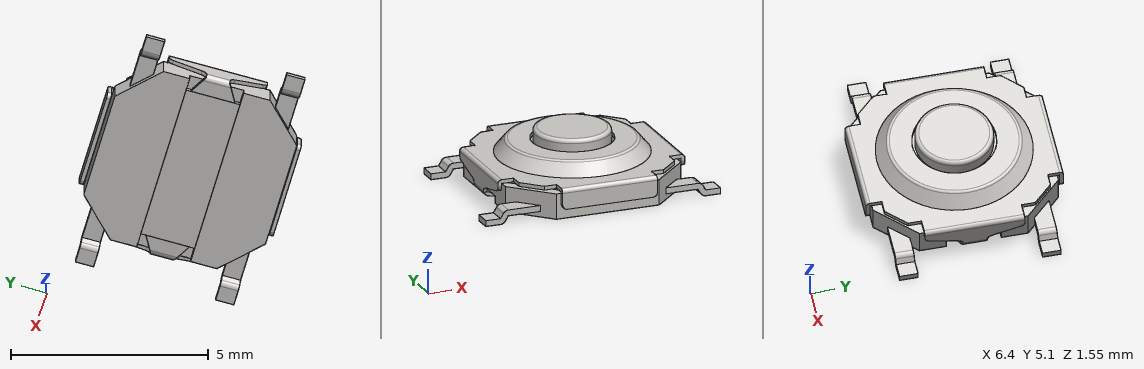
import cadquery as cq
import math

BODY_HALF = 2.395
BODY_CHAMFER = 0.99
BODY_BOTTOM = 0.05
BODY_TOP = 0.735
NECK_HALF = 2.34
NECK_SUM = 3.39
CHANNEL_HALF_WIDTH = 0.71
CHANNEL_TOP = 0.115
POCKET_TOP = 0.25

SHEET = 0.1
COVER_WIDTH = 5.1
COVER_HALF = COVER_WIDTH / 2
COVER_TOP = 0.89
COVER_BOTTOM = COVER_TOP - SHEET
FLANGE_HALF_WIDTH = 1.29
CORNER_HALF_X = 2.125
CORNER_HALF_Y = 2.145
CORNER_SUM = 3.77

SIDE_FLANGE_BOTTOM = 0.345
FLANGE_RADIUS = 0.12
SHOULDER_TOP = 0.595
SHOULDER_BOTTOM = 0.36
TONGUE_HALF_WIDTH = 0.31
SHOULDER_RADIUS = 0.14
TONGUE_ROOT_RADIUS = 0.165
HOOK_BOTTOM = 0.13
HOOK_HALF_WIDTH = 0.575
HOOK_FLARE_START = 2.51
HOOK_BEND_RADIUS = 0.14
HOOK_FLARE_ANGLE = math.radians(30)
HOOK_END = HOOK_FLARE_START - (HOOK_HALF_WIDTH - TONGUE_HALF_WIDTH) / math.tan(HOOK_FLARE_ANGLE)

DOME_BASE_RADIUS = 2.0
DOME_RIM_RADIUS = 1.69
DOME_TOP = 1.255
DOME_FILLET = 0.1
HOLE_RADIUS = 1.075
HOLE_DEPTH = SHEET
BUTTON_RADIUS = 1.0
BUTTON_TOP = 1.55
BUTTON_FILLET = 0.1

LEAD_TIP = 3.2
LEAD_THICKNESS = 0.16
LEAD_RISE = 0.205
LEAD_ANGLE = math.radians(58)
LEAD_UPPER_BEND = 2.585
LEAD_ROOT = 1.6
LEAD_NEAR_Y = 1.605
LEAD_WIDTH = 0.48


def octagon(half_x, half_y, diagonal_sum, bottom, top):
    """Prism with a chamfered rectangular outline; |x| + |y| = diagonal_sum on the chamfers."""
    corner_x = diagonal_sum - half_y
    corner_y = diagonal_sum - half_x
    outline = [
        (half_x, -corner_y), (half_x, corner_y), (corner_x, half_y), (-corner_x, half_y),
        (-half_x, corner_y), (-half_x, -corner_y), (-corner_x, -half_y), (corner_x, -half_y),
    ]
    return cq.Workplane("XY", origin=(0, 0, bottom)).polyline(outline).close().extrude(top - bottom)


def block(x0, x1, half_y, z0, z1):
    """Box between two X and two Z positions, symmetric in Y."""
    return cq.Workplane("XY").box(
        x1 - x0, 2 * half_y, z1 - z0, centered=(False, True, False)
    ).translate((x0, 0, z0))


def both_x_sides(shape):
    """Join a shape on the -X side with its mirror on the +X side."""
    return shape.union(shape.mirror("YZ"))


def make_body():
    chamfer_sum = 2 * BODY_HALF - BODY_CHAMFER
    body = octagon(BODY_HALF, BODY_HALF, chamfer_sum, BODY_BOTTOM, BODY_TOP)
    neck = octagon(NECK_HALF, NECK_HALF, NECK_SUM, BODY_TOP, COVER_BOTTOM)
    channel = block(-BODY_HALF, BODY_HALF, CHANNEL_HALF_WIDTH, BODY_BOTTOM, CHANNEL_TOP)
    pocket = block(-BODY_HALF, -HOOK_END, CHANNEL_HALF_WIDTH, BODY_BOTTOM, POCKET_TOP)
    return body.union(neck).cut(channel).cut(both_x_sides(pocket))


def make_y_cover():
    """Cover strip along Y with a plain rounded flange bent down at each end."""
    strip = cq.Workplane("XY", origin=(0, 0, SIDE_FLANGE_BOTTOM)).box(
        2 * FLANGE_HALF_WIDTH, 2 * COVER_HALF, COVER_TOP - SIDE_FLANGE_BOTTOM,
        centered=(True, True, False),
    )
    strip = strip.edges("|Y and <Z").fillet(FLANGE_RADIUS)
    strip = strip.edges("|X and >Z").fillet(SHEET)
    inner_half = COVER_HALF - SHEET
    hollow = cq.Workplane("XY").box(
        2 * FLANGE_HALF_WIDTH, 2 * inner_half, COVER_BOTTOM, centered=(True, True, False)
    )
    return strip.cut(hollow)


def make_x_flange():
    """Tapering flange on the -X side whose tongue hooks under the body."""
    half_outline = [
        (FLANGE_HALF_WIDTH, COVER_TOP),
        (FLANGE_HALF_WIDTH, SHOULDER_TOP),
        (TONGUE_HALF_WIDTH, SHOULDER_BOTTOM),
        (TONGUE_HALF_WIDTH, HOOK_BOTTOM),
    ]
    mirrored = [(-y, z) for y, z in reversed(half_outline)]
    flange = (
        cq.Workplane("YZ", origin=(-COVER_HALF, 0, 0))
        .polyline(half_outline + mirrored).close().extrude(SHEET)
    )

    def shoulder_edges(half_width, z):
        middle = -COVER_HALF + SHEET / 2
        edges = flange.edges(cq.selectors.NearestToPointSelector((middle, half_width, z)))
        return edges.add(flange.edges(cq.selectors.NearestToPointSelector((middle, -half_width, z))))

    flange = shoulder_edges(FLANGE_HALF_WIDTH, SHOULDER_TOP).fillet(SHOULDER_RADIUS)
    flange = shoulder_edges(TONGUE_HALF_WIDTH, SHOULDER_BOTTOM).fillet(TONGUE_ROOT_RADIUS)

    hook_half = [
        (-COVER_HALF, TONGUE_HALF_WIDTH),
        (-HOOK_FLARE_START, TONGUE_HALF_WIDTH),
        (-HOOK_END, HOOK_HALF_WIDTH),
    ]
    hook_outline = hook_half + [(x, -y) for x, y in reversed(hook_half)]
    hook = (
        cq.Workplane("XY", origin=(0, 0, HOOK_BOTTOM))
        .polyline(hook_outline).close().extrude(SHEET)
    )
    flange = flange.union(hook)
    flange = flange.union(block(-COVER_HALF, 0, FLANGE_HALF_WIDTH, COVER_BOTTOM, COVER_TOP))
    flange = flange.edges("|Y and <Z").edges("<X").fillet(HOOK_BEND_RADIUS)
    return flange.edges("|Y and >Z").edges("<X").fillet(SHEET)


def make_cover():
    plate = octagon(CORNER_HALF_X, CORNER_HALF_Y, CORNER_SUM, COVER_BOTTOM, COVER_TOP)
    return plate.union(make_y_cover()).union(both_x_sides(make_x_flange()))


def make_dome():
    dome = (
        cq.Workplane("XZ")
        .polyline([
            (0, COVER_BOTTOM), (DOME_BASE_RADIUS, COVER_BOTTOM), (DOME_BASE_RADIUS, COVER_TOP),
            (DOME_RIM_RADIUS, DOME_TOP), (0, DOME_TOP),
        ])
        .close().revolve(360, (0, 0), (0, 1))
    )
    dome = dome.faces(">Z").edges().fillet(DOME_FILLET)
    return dome.faces(">Z").workplane().circle(HOLE_RADIUS).cutBlind(-HOLE_DEPTH)


def make_button():
    button_bottom = DOME_TOP - HOLE_DEPTH
    button = cq.Workplane("XY", origin=(0, 0, button_bottom)).circle(BUTTON_RADIUS)
    return button.extrude(BUTTON_TOP - button_bottom).faces(">Z").edges().fillet(BUTTON_FILLET)


def make_lead():
    """Gull-wing lead on the -X side; both outer bend arcs are centred on the inner corners."""
    sin_a, cos_a = math.sin(LEAD_ANGLE), math.cos(LEAD_ANGLE)
    inner_step = LEAD_RISE - LEAD_THICKNESS
    upper_x = -LEAD_UPPER_BEND
    lower_x = upper_x - (LEAD_THICKNESS + inner_step * cos_a) / sin_a

    def arc_point(centre_x, centre_z, side, angle):
        offset = side * LEAD_THICKNESS
        return centre_x - offset * math.sin(angle), centre_z + offset * math.cos(angle)

    def upper(angle):
        return arc_point(upper_x, LEAD_RISE, 1, angle)

    def lower(angle):
        return arc_point(lower_x, LEAD_THICKNESS, -1, angle)

    return (
        cq.Workplane("XZ", origin=(0, -LEAD_NEAR_Y, 0))
        .moveTo(-LEAD_TIP, 0)
        .lineTo(*lower(0))
        .threePointArc(lower(LEAD_ANGLE / 2), lower(LEAD_ANGLE))
        .lineTo(upper_x, LEAD_RISE)
        .lineTo(-LEAD_ROOT, LEAD_RISE)
        .lineTo(-LEAD_ROOT, LEAD_RISE + LEAD_THICKNESS)
        .lineTo(*upper(0))
        .threePointArc(upper(LEAD_ANGLE / 2), upper(LEAD_ANGLE))
        .lineTo(lower_x, LEAD_THICKNESS)
        .lineTo(-LEAD_TIP, LEAD_THICKNESS)
        .close().extrude(LEAD_WIDTH)
    )


def make_leads():
    front_pair = both_x_sides(make_lead())
    return front_pair.union(front_pair.mirror("XZ"))


result = (
    make_body()
    .union(make_cover())
    .union(make_dome())
    .union(make_button())
    .union(make_leads())
)